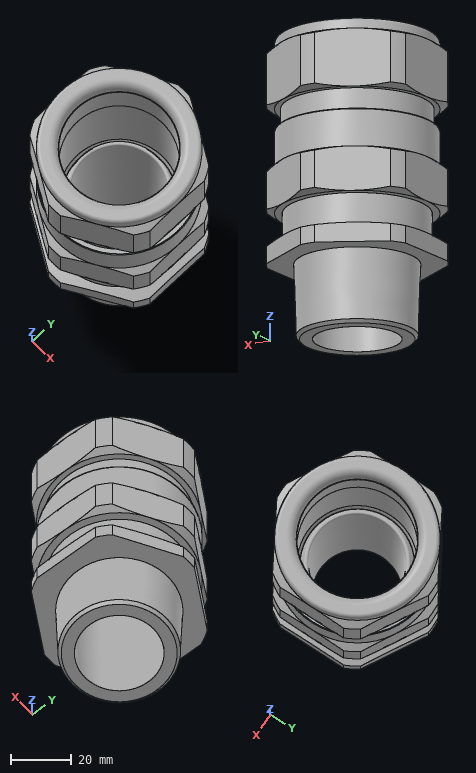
import cadquery as cq
import math


hex_sides = 6
across_flats = 55.0
flat_radius = across_flats / 2
across_corners = 60.5
corner_radius = across_corners / 2
nut_bevel = 1.2
flange_bevel = 0.67

flange_bottom = 25.7
flange_flat_top = 32.5
mid_hex_bottom = 43.4
mid_hex_top = 58.8
collar_top = 72.0
cap_bottom = 79.5
cap_hex_top = 99.6
total_height = 103.4

thread_end_radius = 20.4
thread_chamfer = 1.1
thread_slope = 1 / 32
neck_radius = 24.9
neck_top = 51.7
shoulder_width = 0.6
spigot_base_radius = 19.0
spigot_tip_radius = 17.7
spigot_height = 5.7
spigot_round = 0.6
entry_bore_top_radius = 16.2
entry_bore_bottom_radius = 14.9

sleeve_radius = 25.5
sleeve_top = 85.8
collar_chamfer = 0.3
main_bore_radius = 20.1
seat_radius = 19.1
seat_height = 1.0

rim_round = 1.3
mouth_radius = 20.3
mouth_depth = 4.0
mouth_round = 3.1


def ring(points):
    """Revolve a closed (radius, height) outline about the Z axis."""
    return cq.Workplane("XZ").polyline(points).close().revolve(360, (0, 0), (0, 1))


def cylinder(radius, bottom, top):
    return cq.Workplane("XY").workplane(offset=bottom).circle(radius).extrude(top - bottom)


def hexagon(bottom, top):
    """Hexagonal prism with two flats facing -X and +X."""
    sharp_diameter = across_flats / math.cos(math.pi / hex_sides)
    prism = cq.Workplane("XY").workplane(offset=bottom).polygon(hex_sides, sharp_diameter).extrude(top - bottom)
    return prism.rotate((0, 0, 0), (0, 0, 1), 180 / hex_sides)


def bevelled_hexagon(bottom, top):
    """Hexagon with rounded corners and a conical bevel at both ends."""
    envelope = ring([
        (0, bottom),
        (flat_radius, bottom),
        (corner_radius, bottom + nut_bevel),
        (corner_radius, top - nut_bevel),
        (flat_radius, top),
        (0, top),
    ])
    return hexagon(bottom, top).intersect(envelope)


def entry_flange():
    """Thin hexagon, bevelled on top only, with a small flat ring around the neck."""
    shoulder_radius = neck_radius + shoulder_width
    bevel_slope = flange_bevel / (corner_radius - flat_radius)
    top = flange_flat_top + bevel_slope * (flat_radius - shoulder_radius)
    envelope = ring([
        (0, flange_bottom),
        (corner_radius, flange_bottom),
        (corner_radius, flange_flat_top - flange_bevel),
        (shoulder_radius, top),
        (0, top),
    ])
    return hexagon(flange_bottom, top).intersect(envelope)


def make_entry_body():
    thread_top_radius = thread_end_radius + thread_slope * (flange_bottom - thread_chamfer)
    spigot_top = neck_top + spigot_height
    barrel = ring([
        (entry_bore_bottom_radius, 0),
        (thread_end_radius - thread_chamfer, 0),
        (thread_end_radius, thread_chamfer),
        (thread_top_radius, flange_bottom),
        (neck_radius, flange_bottom),
        (neck_radius, neck_top),
        (spigot_base_radius, neck_top),
        (spigot_tip_radius, spigot_top),
        (entry_bore_top_radius, spigot_top),
    ])
    barrel = barrel.faces(">Z").edges().fillet(spigot_round)
    flange = entry_flange().cut(cylinder(neck_radius, 0, total_height))
    return barrel.union(flange)


def make_middle_body():
    collar = cylinder(flat_radius, mid_hex_top, collar_top).faces(">Z").chamfer(collar_chamfer)
    sleeve = cylinder(sleeve_radius, collar_top, sleeve_top)
    outside = bevelled_hexagon(mid_hex_bottom, mid_hex_top).union(collar).union(sleeve)
    bore = ring([
        (0, mid_hex_bottom),
        (neck_radius, mid_hex_bottom),
        (neck_radius, neck_top),
        (seat_radius, neck_top),
        (main_bore_radius, neck_top + seat_height),
        (main_bore_radius, sleeve_top),
        (0, sleeve_top),
    ])
    return outside.cut(bore)


def make_cap_nut():
    rim = cylinder(flat_radius, cap_hex_top, total_height).faces(">Z").edges().fillet(rim_round)
    outside = bevelled_hexagon(cap_bottom, cap_hex_top).union(rim)
    socket = cylinder(sleeve_radius, cap_bottom, sleeve_top)
    bore = cylinder(main_bore_radius, sleeve_top, total_height)
    mouth = cylinder(mouth_radius, total_height - mouth_depth, total_height)
    nut = outside.cut(socket).cut(bore).cut(mouth)
    mouth_edge = cq.selectors.RadiusNthSelector(0)
    return nut.faces(">Z").edges(mouth_edge).fillet(mouth_round)


entry_body = make_entry_body().solids()
middle_body = make_middle_body().solids()
cap_nut = make_cap_nut().solids()

result = cq.Compound.makeCompound([entry_body.val(), middle_body.val(), cap_nut.val()])